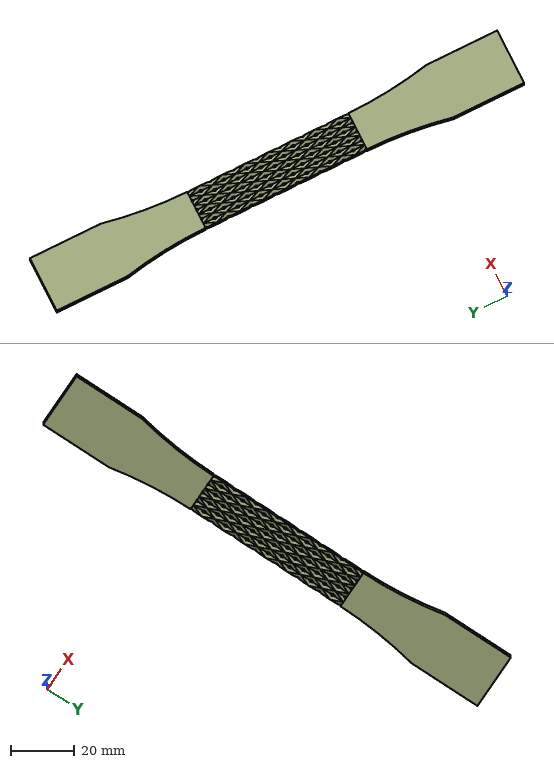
import cadquery as cq
import math

length = 165.0
grip_width = 19.0
gauge_width = 13.0
thickness = 3.1
gauge_length = 57.0
grip_spacing = 115.0

flank_flats = 4

pit_columns = 4
pit_rows = 7

core_scale = 0.26
rim_depth = 0.46
pit_depth = 1.42

tile_columns = 2 * pit_columns
tile_rows = 2 * pit_rows
tile_width = gauge_width / tile_columns
tile_length = gauge_length / tile_rows


def flank_points():
    """Corners of the +X flank, from the gauge out to the full grip width."""
    flare = (grip_width - gauge_width) / 2
    run = (grip_spacing - gauge_length) / 2

    arc_radius = (run**2 + flare**2) / (2 * flare)
    arc_angle = math.asin(run / arc_radius)

    points = []
    for i in range(flank_flats + 1):
        angle = arc_angle * i / flank_flats
        x = gauge_width / 2 + arc_radius * (1 - math.cos(angle))
        y = gauge_length / 2 + arc_radius * math.sin(angle)
        points.append((x, y))
    return points


def make_grip():
    """Make the +Y end: a wide grip that narrows to the gauge in short flats."""
    right_side = flank_points() + [(grip_width / 2, length / 2)]
    left_side = [(-x, y) for x, y in reversed(right_side)]
    return (
        cq.Workplane("XY", origin=(0, 0, -thickness / 2))
        .polyline(right_side + left_side)
        .close()
        .extrude(thickness)
    )


def is_pit_center(column, row):
    return (column + row) % 2 == 0


def surface_point(column, row, side, depth):
    """Point at a grid position, sunk below the top (side = 1) or bottom (side = -1)."""
    return cq.Vector(
        column * tile_width - gauge_width / 2,
        row * tile_length - gauge_length / 2,
        side * (thickness / 2 - depth),
    )


def corner_point(corner, side):
    depth = pit_depth if is_pit_center(*corner) else 0
    return surface_point(*corner, side, depth)


def rim_point(pit, ridge, side):
    """Corner of the core rim, on the line from a pit center toward a ridge corner."""
    column = pit[0] + core_scale * (ridge[0] - pit[0])
    row = pit[1] + core_scale * (ridge[1] - pit[1])
    return surface_point(column, row, side, rim_depth)


def polygon_face(points):
    return cq.Face.makeFromWires(cq.Wire.makePolygon(points, close=True))


def tile_facets(column, row, side):
    """Two pit quarters that meet along the ridge crossing the tile."""
    corners = [
        (column, row),
        (column + 1, row),
        (column + 1, row + 1),
        (column, row + 1),
    ]
    pits = [corner for corner in corners if is_pit_center(*corner)]
    ridge_ends = [corner for corner in corners if not is_pit_center(*corner)]

    facets = []
    for pit in pits:
        rim_start, rim_end = [rim_point(pit, end, side) for end in ridge_ends]
        ridge_start, ridge_end = [corner_point(end, side) for end in ridge_ends]
        facets.append(polygon_face([ridge_start, ridge_end, rim_end, rim_start]))
        facets.append(polygon_face([rim_start, rim_end, corner_point(pit, side)]))
    return facets


def zigzag_edge(grid_line, side):
    """Points of the pitted surface along a grid line, from one end to the other."""
    points = [corner_point(grid_line[0], side)]
    for start, end in zip(grid_line, grid_line[1:]):
        pit, ridge = (start, end) if is_pit_center(*start) else (end, start)
        points += [rim_point(pit, ridge, side), corner_point(end, side)]
    return points


def wall_face(grid_line):
    """Upright wall between the top and bottom surfaces along a grid line."""
    return polygon_face(zigzag_edge(grid_line, 1) + zigzag_edge(grid_line[::-1], -1))


def make_gauge():
    """Sew the facets and the four flat walls into one closed solid."""
    faces = []
    for side in (1, -1):
        for column in range(tile_columns):
            for row in range(tile_rows):
                faces += tile_facets(column, row, side)
    for column in (0, tile_columns):
        faces.append(wall_face([(column, row) for row in range(tile_rows + 1)]))
    for row in (0, tile_rows):
        faces.append(wall_face([(column, row) for column in range(tile_columns + 1)]))
    return cq.Workplane(cq.Solid.makeSolid(cq.Shell.makeShell(faces)).fix())


grip = make_grip()
result = make_gauge().union(grip).union(grip.mirror("XZ"))